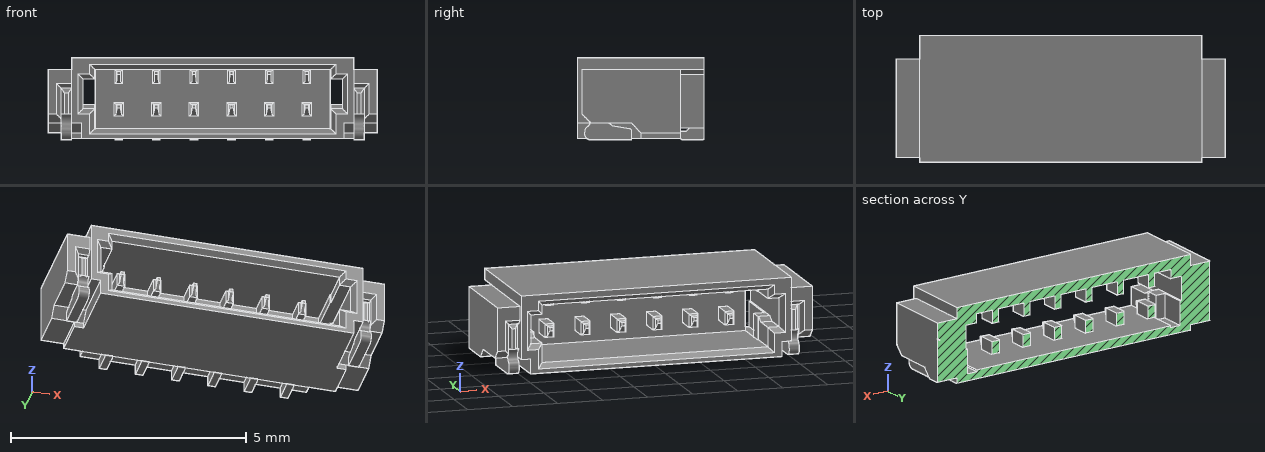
import cadquery as cq

housing_width = 6.0
housing_depth = 2.7
housing_top = 1.75
housing_bottom = 0.03
front_y = -housing_depth / 2
rear_y = housing_depth / 2
shell_rear_y = 0.85
rear_block_width = 5.0
rear_block_bottom = 0.25
roof_bottom = 1.5
roof_haunch = 0.11

cavity_width = 5.02
cavity_inner_width = 4.98
cavity_floor = 0.24
cavity_ceiling = 1.5
cavity_step_y = -0.57
cavity_rear_y = 0.35
mouth_chamfer = 0.11

channel_half_width = 2.757
channel_floor = 0.665
channel_raised_floor = 0.755
channel_ceiling = 1.295
channel_ramp_start_y = -0.72
side_wall_rear_y = -0.27
side_pocket_half_width = 2.72
side_pocket_floor = 0.2

overall_width = 7.0
ear_front_y = -1.25
ear_bottom = 0.15
ear_top = 1.5
ear_chamfer_top = 0.55
underside_step = 0.36
ear_chamfer_rear_y = -1.06
step_ramp_front_y = -0.195
step_ramp_rear_y = 0.0
corner_notch_width = 0.205
ear_slot_width = 0.225
ear_slot_top = 1.1
ear_slot_chamfer = 0.1
ear_slot_rear_y = -1.05

tab_tip_y = -1.16
tab_tip_width = 0.08
tab_tip_drop = 0.1
foot_front_y = -1.19
foot_rear_y = -0.195
foot_heel_height = 0.19
foot_heel_radius = 0.05
foot_instep_front = (-0.6, 0.3)
foot_instep_top = (-0.68, underside_step)
foot_ankle_middle = (-1.07, 0.42)
foot_ankle_bottom = (-1.125, 0.287)
foot_toe_middle = (-1.175, 0.235)
foot_toe_height = 0.166
foot_sole_middle = (-1.165, 0.05)
foot_sole_front_y = -1.08

contacts_per_row = 6
contact_pitch = 0.8
pin_tip_y = -0.25
pin_shoulder_length = 0.04
pin_shoulder_inset = 0.04
pin_point_length = 0.1
pin_tip_size = 0.07
lower_pin_width = 0.2
lower_pin_bottom, lower_pin_top = 0.505, 0.8
lower_pin_tip_z = 0.71
upper_pin_width = 0.166
upper_pin_bottom = 1.2
upper_pin_tip_z = 1.43
tail_width = 0.166
tail_toe_height = 0.19
tail_stem_front_y = 1.03
tail_toe_slope = 0.06
tail_corner_radius = 0.04


def box(x0, x1, y0, y1, z0, z1):
    """Axis-aligned box given by its limits."""
    return cq.Workplane("XY").box(x1 - x0, y1 - y0, z1 - z0, centered=False).translate((x0, y0, z0))


def centred_box(width, y0, y1, z0, z1):
    """Box symmetric about X = 0."""
    return box(-width / 2, width / 2, y0, y1, z0, z1)


def frustum(base, tip, base_y, tip_y):
    """Taper between two (x0, x1, z0, z1) rectangles that face along Y."""
    wires = []
    for (x0, x1, z0, z1), y in ((base, base_y), (tip, tip_y)):
        corners = [(x0, y, z0), (x1, y, z0), (x1, y, z1), (x0, y, z1)]
        wires.append(cq.Wire.makePolygon([cq.Vector(*corner) for corner in corners], close=True))
    return cq.Workplane(cq.Solid.makeLoft(wires, True))


def side_profile(points, x0, x1):
    """Extrude a closed (y, z) outline from x0 to x1."""
    return cq.Workplane("YZ").polyline(points).close().extrude(x1 - x0).translate((x0, 0, 0))


def both_sides(body):
    """Body on the +X side together with its mirror image."""
    return body.union(body.mirror("YZ"))


def make_shell():
    half = housing_width / 2
    block_half = rear_block_width / 2
    shell = centred_box(housing_width, front_y, shell_rear_y, housing_bottom, housing_top)
    haunch_bottom = roof_bottom - roof_haunch
    rear_section = [
        (-block_half, rear_block_bottom),
        (block_half, rear_block_bottom),
        (block_half, haunch_bottom),
        (block_half + roof_haunch, roof_bottom),
        (half, roof_bottom),
        (half, housing_top),
        (-half, housing_top),
        (-half, roof_bottom),
        (-block_half - roof_haunch, roof_bottom),
        (-block_half, haunch_bottom),
    ]
    rear = cq.Workplane("XZ").polyline(rear_section).close().extrude(shell_rear_y - rear_y)
    return shell.union(rear.translate((0, shell_rear_y, 0)))


def make_ear():
    outer_x = overall_width / 2
    inner_x = housing_width / 2
    ear = box(inner_x, outer_x, ear_front_y, shell_rear_y, ear_bottom, ear_top)
    underside = [
        (ear_front_y, ear_bottom),
        (ear_front_y, ear_chamfer_top),
        (ear_chamfer_rear_y, underside_step),
        (step_ramp_front_y, underside_step),
        (step_ramp_rear_y, ear_bottom),
    ]
    ear = ear.cut(side_profile(underside, inner_x, outer_x))
    slot_x = inner_x + ear_slot_width
    slot = box(inner_x, slot_x, ear_front_y, ear_slot_rear_y, ear_bottom, ear_slot_top)
    slot_lead_in = frustum(
        (inner_x, slot_x, ear_bottom, ear_slot_top),
        (inner_x, slot_x + ear_slot_chamfer, ear_bottom, ear_slot_top + ear_slot_chamfer),
        ear_front_y + ear_slot_chamfer,
        ear_front_y,
    )
    return ear.cut(slot).cut(slot_lead_in)


def make_corner_notch():
    """Relief under the front corner of the shell, ending in a ramp."""
    outline = [
        (front_y, housing_bottom),
        (front_y, underside_step),
        (step_ramp_front_y, underside_step),
        (step_ramp_rear_y, ear_bottom),
        (step_ramp_rear_y, housing_bottom),
    ]
    half = housing_width / 2
    return side_profile(outline, half - corner_notch_width, half)


def make_cavity():
    half = cavity_width / 2
    cavity = centred_box(cavity_width, front_y, cavity_step_y, cavity_floor, cavity_ceiling)
    rear = centred_box(cavity_inner_width, cavity_step_y, cavity_rear_y, cavity_floor, cavity_ceiling)
    lead_in = frustum(
        (-half, half, cavity_floor, cavity_ceiling),
        (
            -half - mouth_chamfer,
            half + mouth_chamfer,
            cavity_floor - mouth_chamfer,
            cavity_ceiling + mouth_chamfer,
        ),
        front_y + mouth_chamfer,
        front_y,
    )
    return cavity.union(rear).union(lead_in)


def make_channel():
    """Latch channel on the +X side, open to the rear through a deeper pocket."""
    inner_x = cavity_inner_width / 2
    outline = [
        (front_y, channel_ceiling),
        (front_y, channel_floor),
        (channel_ramp_start_y, channel_floor),
        (cavity_step_y, channel_raised_floor),
        (shell_rear_y, channel_raised_floor),
        (shell_rear_y, channel_ceiling),
    ]
    channel = side_profile(outline, inner_x, channel_half_width)
    lead_in = frustum(
        (inner_x, channel_half_width, channel_floor, channel_ceiling),
        (
            inner_x,
            channel_half_width + mouth_chamfer,
            channel_floor - mouth_chamfer,
            channel_ceiling + mouth_chamfer,
        ),
        front_y + mouth_chamfer,
        front_y,
    )
    pocket = box(
        inner_x,
        side_pocket_half_width,
        side_wall_rear_y,
        shell_rear_y,
        side_pocket_floor,
        channel_ceiling,
    )
    return channel.union(lead_in).union(pocket)


def make_hold_down():
    """Blade in the ear slot with a solder foot under the ear."""
    inner_x = housing_width / 2
    outer_x = inner_x + ear_slot_width
    middle_x = (inner_x + outer_x) / 2
    tip_x0 = middle_x - tab_tip_width / 2
    tip_x1 = middle_x + tab_tip_width / 2
    blade = frustum(
        (inner_x, outer_x, ear_chamfer_top, ear_slot_top),
        (tip_x0, tip_x1, ear_chamfer_top, ear_slot_top - tab_tip_drop),
        ear_slot_rear_y,
        tab_tip_y,
    )
    heel_top = (foot_rear_y - foot_heel_radius, foot_heel_height + foot_heel_radius)
    foot = (
        cq.Workplane("YZ")
        .moveTo(foot_rear_y, 0)
        .lineTo(foot_rear_y, foot_heel_height)
        .radiusArc(heel_top, -foot_heel_radius)
        .lineTo(*foot_instep_front)
        .lineTo(*foot_instep_top)
        .lineTo(ear_slot_rear_y, ear_chamfer_top)
        .lineTo(tab_tip_y, ear_chamfer_top)
        .threePointArc(foot_ankle_middle, foot_ankle_bottom)
        .threePointArc(foot_toe_middle, (foot_front_y, foot_toe_height))
        .threePointArc(foot_sole_middle, (foot_sole_front_y, 0))
        .close()
        .extrude(ear_slot_width)
        .translate((inner_x, 0, 0))
    )
    return blade.union(foot)


def make_pin(width, bottom, top, tip_z):
    """Contact pin with a tapered tip, rooted in the rear wall of the cavity."""
    half = width / 2
    neck_half = half - pin_shoulder_inset
    tip_half = pin_tip_size / 2
    neck_y = pin_tip_y + pin_point_length
    shank_y = neck_y + pin_shoulder_length
    base_outline = (-half, half, bottom, top)
    neck_outline = (-neck_half, neck_half, bottom + pin_shoulder_inset, top - pin_shoulder_inset)
    tip_outline = (-tip_half, tip_half, tip_z - tip_half, tip_z + tip_half)
    shank = centred_box(width, shank_y, shell_rear_y, bottom, top)
    shoulder = frustum(base_outline, neck_outline, shank_y, neck_y)
    point = frustum(neck_outline, tip_outline, neck_y, pin_tip_y)
    return shank.union(shoulder).union(point)


def make_tail():
    """Solder tail under the rear block, with its toe against the shell."""
    outline = [
        (shell_rear_y, 0),
        (shell_rear_y, tail_toe_height),
        (tail_stem_front_y - tail_toe_slope, tail_toe_height),
        (tail_stem_front_y, rear_block_bottom),
        (rear_y, rear_block_bottom),
        (rear_y, 0),
    ]
    tail = side_profile(outline, -tail_width / 2, tail_width / 2)
    return tail.edges("|X and <Z").fillet(tail_corner_radius)


def make_contacts():
    lower = make_pin(lower_pin_width, lower_pin_bottom, lower_pin_top, lower_pin_tip_z)
    upper = make_pin(upper_pin_width, upper_pin_bottom, cavity_ceiling, upper_pin_tip_z)
    contact = lower.union(upper).union(make_tail())
    first_x = -contact_pitch * (contacts_per_row - 1) / 2
    contacts = cq.Workplane("XY")
    for index in range(contacts_per_row):
        contacts = contacts.add(contact.translate((first_x + index * contact_pitch, 0, 0)))
    return contacts.combine()


housing = make_shell().cut(make_cavity())
housing = housing.cut(both_sides(make_channel())).cut(both_sides(make_corner_notch()))
housing = housing.union(both_sides(make_ear())).union(both_sides(make_hold_down()))
result = housing.union(make_contacts())